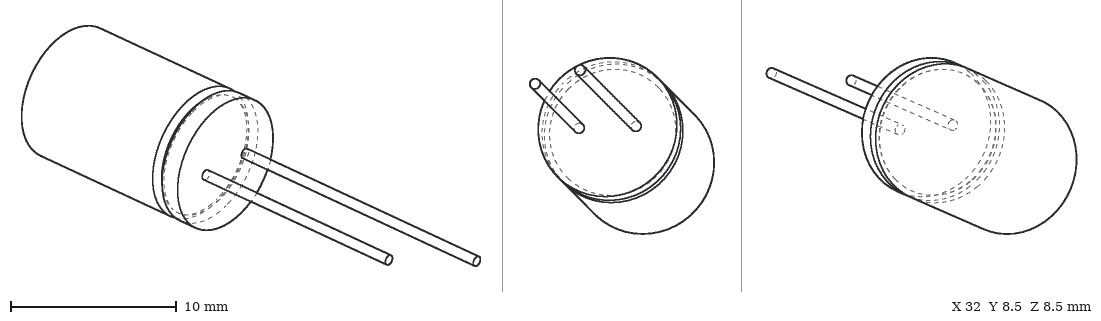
import cadquery as cq

can_radius = 4.25
end_round = 0.25
case_length = 12.95

groove_start = 10.9
groove_end = 11.68
groove_depth = 0.4
groove_middle = (groove_start + groove_end) / 2

long_lead_end = 32.0
short_lead_end = 28.0
lead_radius = 0.32
lead_pitch = 3.5


def make_case():
    """Full turned outline of can and base, with the crimp groove and the rounded closed end."""
    profile = (
        cq.Workplane("XY")
        .lineTo(0, can_radius)
        .lineTo(groove_start, can_radius)
        .threePointArc((groove_middle, can_radius - groove_depth), (groove_end, can_radius))
        .lineTo(case_length, can_radius)
        .lineTo(case_length, 0)
        .close()
    )
    case = profile.revolve(360, (0, 0, 0), (1, 0, 0))
    return case.faces("<X").edges().fillet(end_round)


def make_slice(start, end):
    """Round block covering the case between two X positions."""
    return cq.Workplane("YZ", origin=(start, 0, 0)).circle(2 * can_radius).extrude(end - start)


def make_can():
    """Part of the case on the closed side of the groove middle."""
    return make_case().intersect(make_slice(0, groove_middle)).solids()


def make_base():
    """Part of the case on the lead side of the groove middle."""
    return make_case().intersect(make_slice(groove_middle, case_length)).solids()


def make_lead(y, end):
    """Round wire from the outer face of the base to X = end."""
    start_face = cq.Workplane("YZ", origin=(case_length, y, 0))
    return start_face.circle(lead_radius).extrude(end - case_length)


can = make_can()
base = make_base()
leads = [
    make_lead(y, end)
    for y, end in ((lead_pitch / 2, long_lead_end), (-lead_pitch / 2, short_lead_end))
]
result = cq.Compound.makeCompound([can.val(), base.val(), *[lead.val() for lead in leads]])